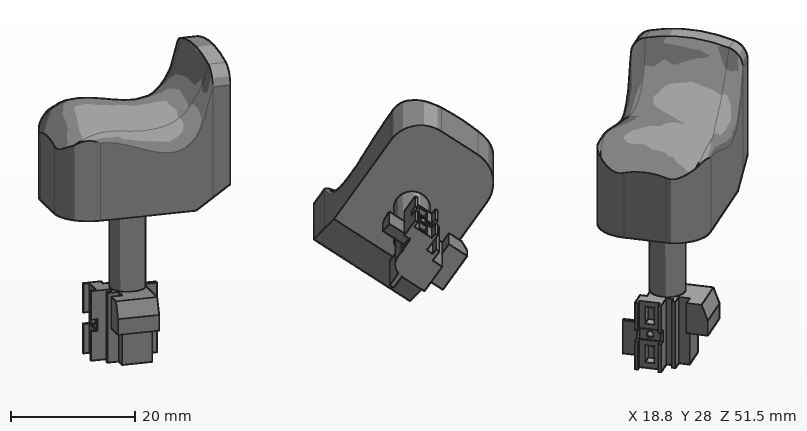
import cadquery as cq
import math


head_width = 18.76
head_length = 27.97
back_y = 14.38
front_y = back_y - head_length
rest_thickness = 3.0
rest_front_y = back_y - rest_thickness
front_corner_radius = 5.85
heel_bevel_length = 5.85
heel_bevel_height = 3.9
half_width = head_width / 2

saddle_sections = [
    (rest_front_y, 24.9, 7.05, 23.9, 20.75),
    (9.8, 20.6, 6.75, 19.3, 15.1),
    (7.9, 17.85, 6.7, 16.4, 11.9),
    (5.4, 16.35, 6.8, 14.55, 10.5),
    (3.0, 15.9, 7.1, 14.0, 10.5),
    (-1.4, 16.3, 8.0, 14.15, 11.8),
    (-5.8, 16.9, 8.5, 14.75, 13.1),
    (-8.2, 16.9, 8.5, 14.55, 13.2),
    (-10.7, 15.95, 8.2, 13.45, 12.25),
    (front_y, 12.05, 7.3, 9.6, 8.1),
]

shaft_diameter = 5.91
shaft_length = 14.82

total_height = 51.54
block_top_z = -shaft_length
block_bottom_z = saddle_sections[0][1] - total_height
block_height = block_top_z - block_bottom_z

core_diameter = 5.08
core_radius = core_diameter / 2
core_center_y = 0.254
core_back_y = core_center_y + core_radius
neck_x = -math.sqrt(core_radius**2 - core_center_y**2)
neck_groove_front_y = -1.32
neck_groove_back_y = -0.64
neck_groove_depth = 0.08

column_right_x = 4.34
column_front_y = -2.3
rib_left_x = 1.86
rib_right_x = 2.5
rib_front_y = -4.2

fin_left_x = -0.85
fin_right_x = -0.1
fin_back_y = 5.1

box_left_x = -3.69
box_right_x = 0.72
box_front_y = -6.37
box_back_y = -3.26
flange_thickness = 0.5
recess_depth = 0.97
cross_slot_depth = 1.11
cross_slot_middle_depth = 1.21
cross_slot_bottom = 4.98
cross_slot_top = 6.95
bump_radius = 0.54
bump_center_x = -1.46
window_width = 1.54
window_height = 3.0
window_depth = 1.8
window_bottoms = (1.03, 7.87)

right_wing_x = 7.93
right_wing_height = 5.37
right_wing_bevel_width = 1.05
right_wing_bevel_height = 2.7
left_wing_x = -6.62
left_wing_bottom = 1.05
left_wing_top = cross_slot_top
left_wing_back_y = neck_groove_front_y
left_wing_top_radius = 1.72
left_wing_bottom_rise = 1.1
left_wing_bottom_bulge = (-1.98, 0.5)


def box_between(x0, x1, y0, y1, z0, z1):
    """Axis-aligned box given by its limits."""
    return cq.Workplane("XY").box(x1 - x0, y1 - y0, z1 - z0, centered=False).translate((x0, y0, z0))


def saddle_wire(y, crown_z, shoulder_x, shoulder_z, side_z):
    """Closed head section: plain sides, rounded shoulders tangent to them, arched crown."""
    run = half_width - shoulder_x
    rise = shoulder_z - side_z
    radius = (run**2 + rise**2) / (2 * run)
    half_angle = math.atan2(rise, radius - run) / 2
    middle_x = half_width - radius + radius * math.cos(half_angle)
    middle_z = side_z + radius * math.sin(half_angle)
    section = (
        cq.Workplane(cq.Plane(origin=(0, y, 0), xDir=(1, 0, 0), normal=(0, -1, 0)))
        .moveTo(-half_width, 0)
        .lineTo(half_width, 0)
        .lineTo(half_width, side_z)
        .threePointArc((middle_x, middle_z), (shoulder_x, shoulder_z))
        .threePointArc((0, crown_z), (-shoulder_x, shoulder_z))
        .threePointArc((-middle_x, middle_z), (-half_width, side_z))
        .close()
    )
    return section.val()


def make_head():
    saddle = cq.Workplane(cq.Solid.makeLoft([saddle_wire(*section) for section in saddle_sections]))
    rest_face = cq.Face.makeFromWires(saddle_wire(*saddle_sections[0]))
    rest = cq.Workplane(cq.Solid.extrudeLinear(rest_face, cq.Vector(0, rest_thickness, 0)))
    footprint = box_between(-half_width, half_width, front_y, back_y, 0, total_height)
    footprint = footprint.edges("|Z and <Y").fillet(front_corner_radius)
    heel = (
        cq.Workplane("YZ")
        .polyline([(back_y, 0), (back_y - heel_bevel_length, 0), (back_y, heel_bevel_height)])
        .close()
        .extrude(half_width, both=True)
    )
    return saddle.intersect(footprint).union(rest).cut(heel)


def make_shaft():
    return cq.Workplane("XY").circle(shaft_diameter / 2).extrude(-shaft_length)


def make_core():
    """Full-height core: round back, flat left neck, right column, front rib and back fin."""
    round_back = (
        cq.Workplane("XY", origin=(0, core_center_y, block_bottom_z))
        .circle(core_radius)
        .extrude(block_height)
    )
    rectangles = [
        (neck_x, rib_right_x, box_back_y, 0),
        (0, column_right_x, column_front_y, core_back_y),
        (rib_left_x, rib_right_x, rib_front_y, 0),
        (fin_left_x, fin_right_x, 0, fin_back_y),
    ]
    core = round_back
    for limits in rectangles:
        core = core.union(box_between(*limits, block_bottom_z, block_top_z))
    groove = box_between(
        neck_x, neck_x + neck_groove_depth, neck_groove_front_y, neck_groove_back_y,
        block_bottom_z, block_top_z,
    )
    return core.cut(groove)


def make_contact_box():
    box = box_between(box_left_x, box_right_x, box_front_y, box_back_y, block_bottom_z, block_top_z)
    recess_floor_y = box_front_y + recess_depth
    slot_floor_y = box_front_y + cross_slot_depth
    bump_center_y = box_front_y + cross_slot_middle_depth
    slot_z0 = block_bottom_z + cross_slot_bottom
    slot_z1 = block_bottom_z + cross_slot_top
    recess_x0 = box_left_x + flange_thickness
    recess_x1 = box_right_x - flange_thickness
    recess = box_between(recess_x0, recess_x1, box_front_y, recess_floor_y, block_bottom_z, block_top_z)
    slot = box_between(box_left_x, box_right_x, box_front_y, slot_floor_y, slot_z0, slot_z1)
    slot_middle = box_between(recess_x0, recess_x1, box_front_y, bump_center_y, slot_z0, slot_z1)
    box = box.cut(recess).cut(slot).cut(slot_middle)
    for bottom in window_bottoms:
        z0 = block_bottom_z + bottom
        window = box_between(
            bump_center_x - window_width / 2, bump_center_x + window_width / 2,
            recess_floor_y, recess_floor_y + window_depth, z0, z0 + window_height,
        )
        box = box.cut(window)
    bump = cq.Workplane("XZ").sphere(bump_radius)
    return box.union(bump.translate((bump_center_x, bump_center_y, (slot_z0 + slot_z1) / 2)))


def make_right_wing():
    bottom_z = block_top_z - right_wing_height
    profile = [
        (column_right_x, bottom_z),
        (right_wing_x, bottom_z),
        (right_wing_x, block_top_z - right_wing_bevel_height),
        (right_wing_x - right_wing_bevel_width, block_top_z),
        (column_right_x, block_top_z),
    ]
    wing = cq.Workplane("XZ", origin=(0, core_back_y, 0)).polyline(profile).close()
    return wing.extrude(core_back_y - rib_front_y)


def make_left_wing():
    bottom_z = block_bottom_z + left_wing_bottom
    top_z = block_bottom_z + left_wing_top
    bulge_y, bulge_rise = left_wing_bottom_bulge
    radius = left_wing_top_radius
    corner_inset = radius * (1 - math.sqrt(0.5))
    return (
        cq.Workplane("YZ", origin=(left_wing_x, 0, 0))
        .moveTo(box_back_y, bottom_z)
        .threePointArc((bulge_y, bottom_z + bulge_rise), (left_wing_back_y, bottom_z + left_wing_bottom_rise))
        .lineTo(left_wing_back_y, top_z - radius)
        .threePointArc(
            (left_wing_back_y - corner_inset, top_z - corner_inset), (left_wing_back_y - radius, top_z)
        )
        .lineTo(box_back_y, top_z)
        .close()
        .extrude(-left_wing_x)
    )


block = make_core().union(make_contact_box()).union(make_right_wing()).union(make_left_wing())
result = make_head().union(make_shaft()).union(block)